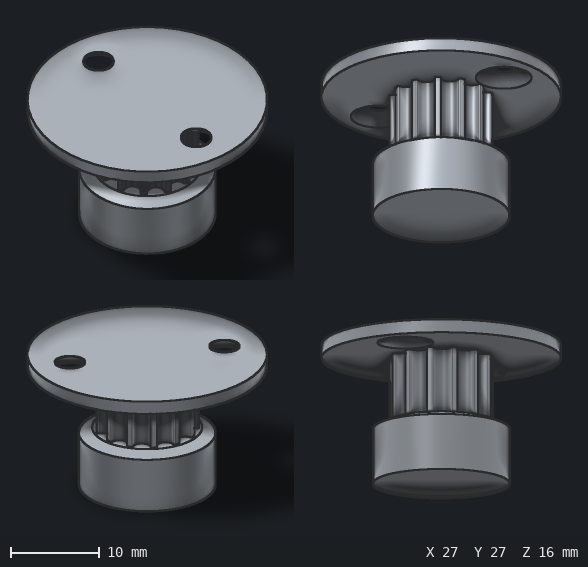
import cadquery as cq
plate_diameter = 27.0
plate_thickness = 1.5
hole_diameter = 3.4
hole_offset = 9.0
countersink_diameter = 6.26
countersink_angle = 90

hub_diameter = 15.42
hub_height = 7.0
hub_chamfer_height = 0.65
hub_chamfer_width = 1.5

tooth_count = 13
tooth_diameter = 11.66
tooth_length = 7.5
groove_radius = 1.0
groove_depth = 1.22
tooth_tip_radius = 0.14
groove_center_radius = tooth_diameter / 2 - groove_depth + groove_radius
first_groove_angle = 180 + 360 / tooth_count / 2


def make_hub():
    """Round hub with a shallow conical top edge."""
    radius = hub_diameter / 2
    profile = [
        (0, 0),
        (-radius, 0),
        (-radius, hub_height - hub_chamfer_height),
        (hub_chamfer_width - radius, hub_height),
        (0, hub_height),
    ]
    return cq.Workplane("XZ").polyline(profile).close().revolve(360, (0, 0), (0, 1))


def make_teeth():
    """Belt teeth: a cylinder cut by round grooves, with rounded tooth tips."""
    teeth = cq.Workplane("XY").circle(tooth_diameter / 2).extrude(tooth_length)
    grooves = (
        cq.Workplane("XY")
        .polarArray(groove_center_radius, first_groove_angle, 360, tooth_count)
        .circle(groove_radius)
        .extrude(tooth_length)
    )
    teeth = teeth.cut(grooves).edges("|Z").fillet(tooth_tip_radius)
    return teeth.translate((0, 0, hub_height))


def make_plate():
    """Round flange with two through holes on the X axis, countersunk from below."""
    return (
        cq.Workplane("XY")
        .workplane(offset=hub_height + tooth_length)
        .circle(plate_diameter / 2)
        .extrude(plate_thickness)
        .faces("<Z")
        .workplane(origin=(0, 0, 0))
        .pushPoints([(-hole_offset, 0), (hole_offset, 0)])
        .cskHole(hole_diameter, countersink_diameter, countersink_angle)
    )


result = make_hub().union(make_teeth()).union(make_plate())